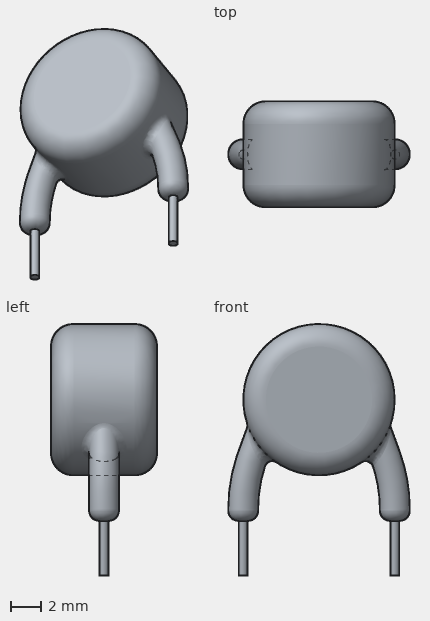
import cadquery as cq
import math

disc_diameter = 10.0
disc_thickness = 7.0
disc_edge_radius = 1.5

leg_diameter = 2.0
leg_offset = disc_diameter / 2
leg_bottom_z = -8.0
leg_end_radius = 0.7
leg_straight_length = 0.8
bend_radius = 10.0
bend_angle = 20.0
slant_length = 3.65
leg_blend_radius = 0.5

wire_diameter = 0.6
overall_height = 16.6
wire_bottom_z = disc_diameter / 2 - overall_height


def make_disc():
    return (
        cq.Workplane("XZ", origin=(0, disc_thickness / 2, 0))
        .circle(disc_diameter / 2)
        .extrude(disc_thickness)
        .edges("%CIRCLE")
        .fillet(disc_edge_radius)
    )


def make_leg(side):
    """Leg with a rounded lower end; side is -1 for -X and 1 for +X."""

    def bend_point(angle_degrees):
        angle = math.radians(angle_degrees)
        inward = bend_radius * (1 - math.cos(angle))
        height = leg_bottom_z + leg_straight_length + bend_radius * math.sin(angle)
        return side * (leg_offset - inward), height

    bend_start = bend_point(0)
    bend_middle = bend_point(bend_angle / 2)
    bend_end = bend_point(bend_angle)
    slant = math.radians(bend_angle)
    slant_end = (
        bend_end[0] - side * slant_length * math.sin(slant),
        bend_end[1] + slant_length * math.cos(slant),
    )
    path = (
        cq.Workplane("XZ")
        .moveTo(side * leg_offset, leg_bottom_z)
        .lineTo(*bend_start)
        .threePointArc(bend_middle, bend_end)
        .lineTo(*slant_end)
    )
    return (
        cq.Workplane("XY", origin=(side * leg_offset, 0, leg_bottom_z))
        .circle(leg_diameter / 2)
        .sweep(path)
        .faces("<Z")
        .edges()
        .fillet(leg_end_radius)
    )


def make_housing():
    body = make_disc()
    for side in (-1, 1):
        body = body.union(make_leg(side))
    return body.edges("%BSPLINE").fillet(leg_blend_radius).solids()


def make_wire(side):
    """Straight round wire butting against the lower end of a leg."""
    return (
        cq.Workplane("XY", origin=(side * leg_offset, 0, wire_bottom_z))
        .circle(wire_diameter / 2)
        .extrude(leg_bottom_z - wire_bottom_z)
    )


housing = make_housing()
wires = [make_wire(side) for side in (-1, 1)]

result = cq.Compound.makeCompound([housing.val(), *[wire.val() for wire in wires]])